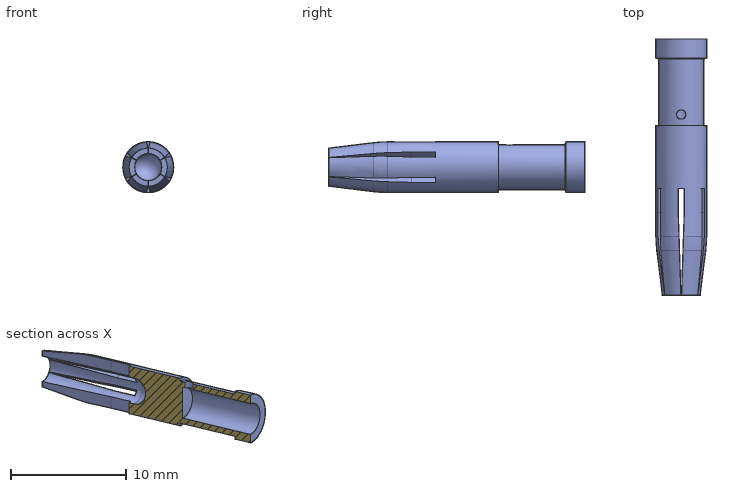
import cadquery as cq
import math


ORIGIN = (0, 0, 0)
Y_AXIS = (0, 1, 0)
HALF_TURN = 180

LENGTH = 22.2
BODY_RADIUS = 2.21
NECK_RADIUS = 1.96
COLLAR_LENGTH = 1.65
COLLAR_BEVEL = 0.08
SHOULDER_Y = 14.7
TAPER_START_Y = 5.1
TAPER_END_Y = 3.9
TIP_RADIUS = 1.65

CONTACT_BORE_RADIUS = 1.17
CONTACT_BORE_DEPTH = 11.0

WIRE_BORE_RADIUS = 1.4
WIRE_BORE_DEPTH = 7.2
INSPECTION_HOLE_RADIUS = 0.4
INSPECTION_HOLE_Y = LENGTH - 6.55

SLOT_CUTS = 3
SLOT_LENGTH = 9.25
SLOT_BEND_Y = 7.17
SLOT_WIDTH = 0.5
SLOT_TIP_WIDTH = 0.03


def outside():
    """Turned outer shape, with an arc leading smoothly from the body into the tip cone."""
    cone_angle = math.atan((BODY_RADIUS - TIP_RADIUS) / ((TAPER_START_Y + TAPER_END_Y) / 2))
    blend_drop = (TAPER_START_Y - TAPER_END_Y) * math.tan(cone_angle / 2)
    collar_y = LENGTH - COLLAR_LENGTH
    return (
        cq.Workplane("ZY")
        .lineTo(TIP_RADIUS, 0)
        .lineTo(BODY_RADIUS - blend_drop, TAPER_END_Y)
        .tangentArcPoint((BODY_RADIUS, TAPER_START_Y), relative=False)
        .lineTo(BODY_RADIUS, SHOULDER_Y)
        .lineTo(NECK_RADIUS, SHOULDER_Y)
        .lineTo(NECK_RADIUS, collar_y - COLLAR_BEVEL)
        .lineTo(BODY_RADIUS, collar_y)
        .lineTo(BODY_RADIUS, LENGTH)
        .lineTo(0, LENGTH)
        .close()
        .revolve(360, ORIGIN, Y_AXIS)
    )


def contact_bore():
    """Bore from the tip, ending in a hemisphere."""
    r = CONTACT_BORE_RADIUS
    straight_depth = CONTACT_BORE_DEPTH - r
    arc_middle = (r * math.cos(math.pi / 4), straight_depth + r * math.sin(math.pi / 4))
    return (
        cq.Workplane("ZY")
        .lineTo(r, 0)
        .lineTo(r, straight_depth)
        .threePointArc(arc_middle, (0, CONTACT_BORE_DEPTH))
        .close()
        .revolve(360, ORIGIN, Y_AXIS)
    )


def wire_bore():
    """Flat-bottomed bore from the wire end."""
    return (
        cq.Workplane("XZ", origin=(0, LENGTH, 0))
        .circle(WIRE_BORE_RADIUS)
        .extrude(WIRE_BORE_DEPTH)
    )


def inspection_hole():
    """Hole through the +Z wall of the neck only."""
    return (
        cq.Workplane("XY")
        .center(0, INSPECTION_HOLE_Y)
        .circle(INSPECTION_HOLE_RADIUS)
        .extrude(BODY_RADIUS)
    )


def slot_cut(angle):
    """Cut across the tip, parallel at its root and narrowing from the bend to the tip."""
    half_width = SLOT_WIDTH / 2
    half_tip = SLOT_TIP_WIDTH / 2
    outline = [
        (-half_tip, 0),
        (half_tip, 0),
        (half_width, SLOT_BEND_Y),
        (half_width, SLOT_LENGTH),
        (-half_width, SLOT_LENGTH),
        (-half_width, SLOT_BEND_Y),
    ]
    cutter = cq.Workplane("XY").polyline(outline).close().extrude(BODY_RADIUS, both=True)
    return cutter.rotate(ORIGIN, Y_AXIS, angle)


result = outside().cut(contact_bore()).cut(wire_bore()).cut(inspection_hole())
for index in range(SLOT_CUTS):
    result = result.cut(slot_cut(index * HALF_TURN / SLOT_CUTS))